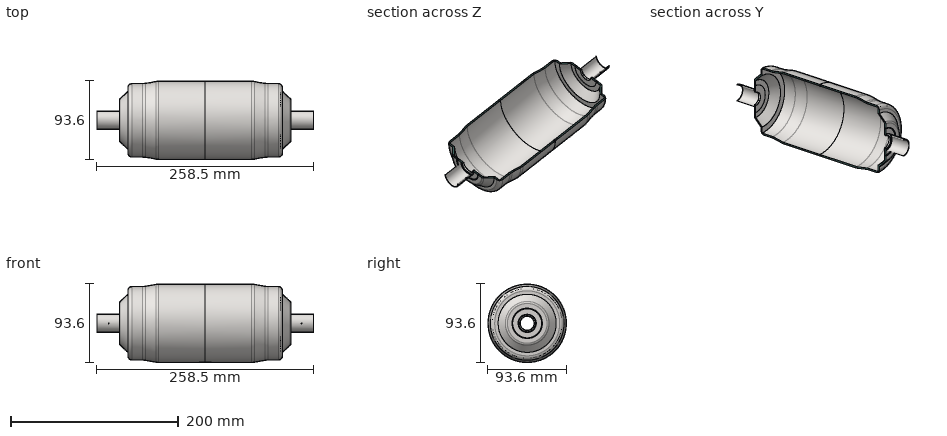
import cadquery as cq
import math

total_length = 258.5
wall = 2.5

belly_radius = 46.8
collar_radius = 44.0
shoulder_x = 57.0
neck_x = 73.0
collar_end_x = 92.2
cone_base_radius = 34.5
face_corner_radius = 25.0
face_x = 102.3
taper_bend_radius = 20.0
collar_edge_radius = 5.2
face_edge_radius = 3.4

opening_radius = 17.3
opening_chamfer = 0.8

tube_radius = 10.9
tube_bore_radius = 10.0
flange_hole_radius = 8.3
pinhole_radius = 0.5
pinhole_inset = 14.2

X_AXIS = (1, 0, 0)
ORIGIN = (0, 0, 0)
SELECT_MARGIN = 0.13

tube_end_x = total_length / 2


def turned(points):
    """Solid of revolution about X from (x, radius) points."""
    return cq.Workplane("XZ").polyline(points).close().revolve(360, ORIGIN, X_AXIS)


def round_edge(body, x, radius, bend_radius):
    """Fillets the round edge of the given radius, the outermost one at that x."""
    reach = radius + SELECT_MARGIN
    slab = cq.selectors.BoxSelector(
        (x - SELECT_MARGIN, -reach, -reach),
        (x + SELECT_MARGIN, reach, reach),
        boundingbox=True,
    )
    outermost = cq.selectors.RadiusNthSelector(-1)
    return body.edges(slab).edges(outermost).fillet(bend_radius)


def rounded_envelope():
    """Outside of one housing half, with its bends and edges rounded."""
    body = turned([
        (0, 0),
        (0, belly_radius),
        (shoulder_x, belly_radius),
        (neck_x, collar_radius),
        (collar_end_x, collar_radius),
        (collar_end_x, cone_base_radius),
        (face_x, face_corner_radius),
        (face_x, 0),
    ])
    body = round_edge(body, shoulder_x, belly_radius, taper_bend_radius)
    body = round_edge(body, neck_x, collar_radius, taper_bend_radius)
    body = round_edge(body, collar_end_x, collar_radius, collar_edge_radius)
    return round_edge(body, face_x, face_corner_radius, face_edge_radius)


def cavity():
    """Hollow inside one housing half, one wall thickness in from the outside."""
    ring_x = collar_end_x - wall
    inner_face_x = face_x - wall
    cone_length = face_x - collar_end_x
    cone_slope = (cone_base_radius - face_corner_radius) / cone_length
    cone_gap = wall * math.hypot(1, cone_slope)
    inner_cone_base = cone_base_radius + cone_slope * wall - cone_gap
    inner_cone_top = inner_cone_base - cone_slope * cone_length
    return turned([
        (0, 0),
        (0, belly_radius - wall),
        (shoulder_x, belly_radius - wall),
        (neck_x, collar_radius - wall),
        (ring_x, collar_radius - wall),
        (ring_x, inner_cone_base),
        (inner_face_x, inner_cone_top),
        (inner_face_x, 0),
    ])


def chamfered_opening():
    """Round opening through the end face, widened at its outer edge."""
    return turned([
        (face_x - wall, 0),
        (face_x - wall, opening_radius),
        (face_x - opening_chamfer, opening_radius),
        (face_x, opening_radius + opening_chamfer),
        (face_x, 0),
    ])


def housing_half():
    """Half shell on the +X side."""
    return rounded_envelope().cut(cavity()).cut(chamfered_opening())


def connector():
    """Flange that fills the opening, with a smaller hole than its tube, on the +X side."""
    body = turned([
        (face_x - wall, flange_hole_radius),
        (face_x - wall, opening_radius),
        (face_x, opening_radius),
        (face_x, tube_radius),
        (tube_end_x, tube_radius),
        (tube_end_x, tube_bore_radius),
        (face_x, tube_bore_radius),
        (face_x, flange_hole_radius),
    ])
    pinhole = (
        cq.Workplane("XZ", origin=(tube_end_x - pinhole_inset, 0, 0))
        .circle(pinhole_radius)
        .extrude(tube_radius)
    )
    return body.cut(pinhole)


bodies = []
for make_body in (housing_half, connector):
    right_body = make_body()
    bodies += [right_body.val(), right_body.mirror("YZ").val()]

result = cq.Compound.makeCompound(bodies)